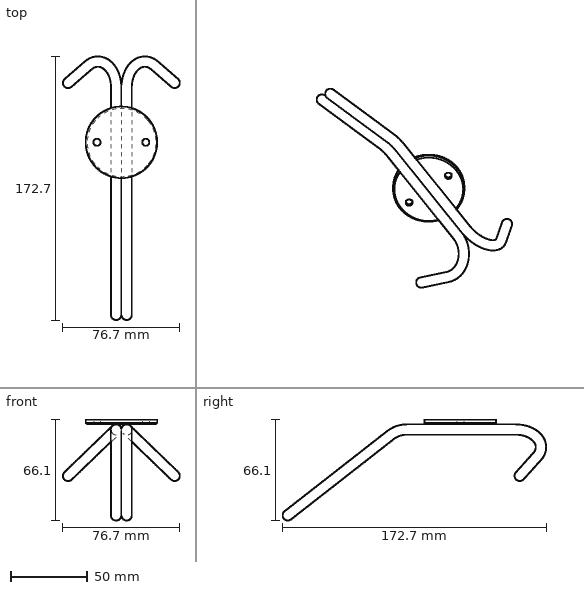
import cadquery as cq
import math

plate_diameter = 47.0
plate_thickness = 3.0
plate_chamfer = 1.0
screw_hole_diameter = 4.5
screw_hole_spacing = 32.0

rod_diameter = 6.9
rod_radius = rod_diameter / 2
rod_axis_z = -plate_thickness - rod_radius
straight_back_y = 36.3
straight_front_y = -35.0

arm_bend_radius = 17.3
arm_angle = math.radians(38)
arm_length = 85.4

hook_bend_radius = 16.6
hook_sweep = math.radians(122)
hook_slope = math.radians(44)
hook_tail_length = 21.6


def make_plate():
    """Round plate with a chamfered lower rim and two screw holes."""
    disc = cq.Workplane("XY").circle(plate_diameter / 2).extrude(-plate_thickness)
    disc = disc.faces("<Z").chamfer(plate_chamfer)
    hole_places = [(-screw_hole_spacing / 2, 0), (screw_hole_spacing / 2, 0)]
    holes = (
        cq.Workplane("XY")
        .pushPoints(hole_places)
        .circle(screw_hole_diameter / 2)
        .extrude(-plate_thickness)
    )
    return disc.cut(holes)


def arm_point(angle, along=0):
    """Point of the front arm axis after bending by angle and going straight by along."""
    run = arm_bend_radius * math.sin(angle) + along * math.cos(angle)
    drop = arm_bend_radius * (1 - math.cos(angle)) + along * math.sin(angle)
    return cq.Vector(0, straight_front_y - run, -drop)


def hook_point(side, angle, along=0):
    """Point of the hook axis after bending by angle and going straight by along."""
    outward = hook_bend_radius * (1 - math.cos(angle)) + along * math.sin(angle)
    forward = hook_bend_radius * math.sin(angle) + along * math.cos(angle)
    return cq.Vector(
        side * outward * math.cos(hook_slope),
        straight_back_y + forward,
        -outward * math.sin(hook_slope),
    )


def make_rod(side):
    """Bent rod with round ends; side is -1 for the -X rod and +1 for the +X rod."""
    arm_tip = arm_point(arm_angle, arm_length)
    arm_bend_end = arm_point(arm_angle)
    arm_bend_middle = arm_point(arm_angle / 2)
    straight_front = arm_point(0)
    straight_back = hook_point(side, 0)
    hook_bend_middle = hook_point(side, hook_sweep / 2)
    hook_bend_end = hook_point(side, hook_sweep)
    hook_tip = hook_point(side, hook_sweep, hook_tail_length)

    axis = cq.Wire.assembleEdges([
        cq.Edge.makeLine(arm_tip, arm_bend_end),
        cq.Edge.makeThreePointArc(arm_bend_end, arm_bend_middle, straight_front),
        cq.Edge.makeLine(straight_front, straight_back),
        cq.Edge.makeThreePointArc(straight_back, hook_bend_middle, hook_bend_end),
        cq.Edge.makeLine(hook_bend_end, hook_tip),
    ])
    section_plane = cq.Plane(origin=arm_tip, xDir=(1, 0, 0), normal=arm_bend_end - arm_tip)
    rod = cq.Workplane(section_plane).circle(rod_radius).sweep(cq.Workplane(axis))
    for tip in (arm_tip, hook_tip):
        rod = rod.union(cq.Workplane("XY").sphere(rod_radius).translate(tip))
    return rod.translate((side * rod_radius, 0, rod_axis_z))


plate = make_plate()
rods = [make_rod(side) for side in (-1, 1)]

result = cq.Compound.makeCompound([plate.solids().val(), *[rod.solids().val() for rod in rods]])